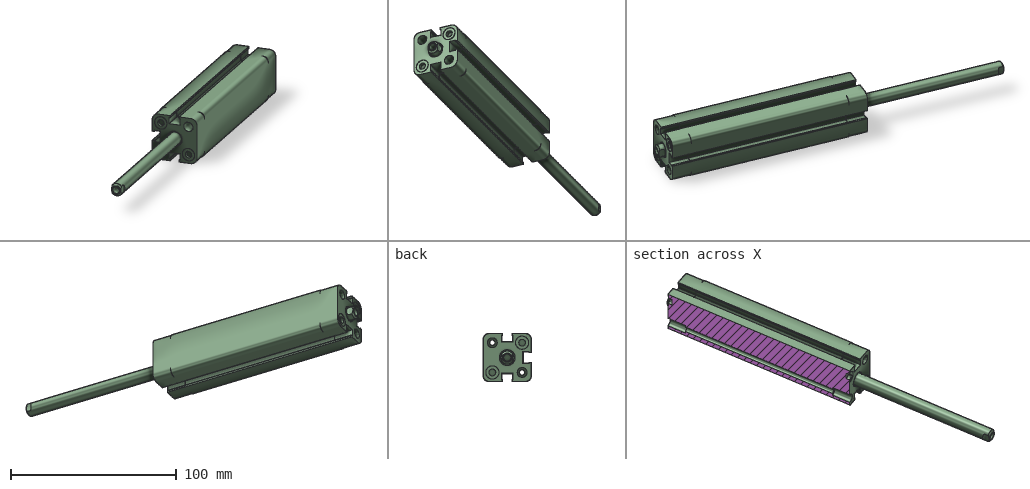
import cadquery as cq
import math

total_length = 227.0
rear_rod_length = 4.3
housing_length = 128.0
cap_length = 12.3
rear_face = total_length / 2 - rear_rod_length
front_face = rear_face - housing_length
cap_faces = ((front_face, 1), (rear_face, -1))

width = 29.0
cap_corner_radius = 4.0
profile_corner_radius = 3.5

slot_mouth = 6.0
slot_lip = 1.4
cap_slot_width = 7.0
cap_slot_depth = 5.2
profile_slot_width = 6.5
profile_slot_depth = 4.8
slot_angles = (0, 90, 180)

hole_spacing = 18.0
hole_offset = hole_spacing / 2
through_hole_diameter = 3.2
thread_diameter = 6.0
thread_depth = cap_length
screw_head_diameter = 8.0
screw_recess_depth = 0.2
socket_diameter = 4.0
socket_depth = 2.3

rod_diameter = 8.0
seal_diameter = 9.5
seal_depth = 1.1
flat_width = 6.1
flat_length = 3.0
flat_runout_radius = 1.4
rod_chamfer_length = 1.0
rod_end_diameter = 5.5
rod_drill_diameter = 3.2
rod_drill_depth = 9.0
rod_thread_diameter = 4.3
rod_thread_depth = 6.8
drill_tip_angle = 118


def cylinder(diameter, y_start, y_end, x=0.0, z=0.0):
    """Cylinder parallel to Y between two Y positions."""
    return (
        cq.Workplane("XZ", origin=(x, y_start, z))
        .circle(diameter / 2)
        .extrude(y_start - y_end)
    )


def slot_cutter(inner_width, depth, y_start, length):
    """T-shaped groove along Y in the +Z side."""
    top = width / 2
    mouth = cq.Workplane().box(slot_mouth, length, depth, centered=(True, False, False))
    inner = cq.Workplane().box(inner_width, length, depth - slot_lip, centered=(True, False, False))
    return mouth.union(inner).translate((0, y_start, top - depth))


def slotted_block(y_start, length, corner_radius, inner_width, slot_depth):
    """Square block with rounded long edges and the sensor slots."""
    block = (
        cq.Workplane()
        .box(width, length, width, centered=(True, False, True))
        .translate((0, y_start, 0))
        .edges("|Y")
        .fillet(corner_radius)
    )
    cutter = slot_cutter(inner_width, slot_depth, y_start, length)
    for angle in slot_angles:
        block = block.cut(cutter.rotate((0, 0, 0), (0, 1, 0), -angle))
    return block


def cap(y_start):
    return slotted_block(y_start, cap_length, cap_corner_radius, cap_slot_width, cap_slot_depth)


def slotted_housing():
    profile = slotted_block(
        front_face + cap_length,
        housing_length - 2 * cap_length,
        profile_corner_radius,
        profile_slot_width,
        profile_slot_depth,
    )
    return profile.union(cap(front_face)).union(cap(rear_face - cap_length))


def cut_through_holes(body):
    """Two through holes on one diagonal, threaded at both ends."""
    for side in (1, -1):
        x = side * hole_offset
        z = side * hole_offset
        body = body.cut(cylinder(through_hole_diameter, front_face, rear_face, x, z))
        for face, inward in cap_faces:
            body = body.cut(cylinder(thread_diameter, face, face + inward * thread_depth, x, z))
    return body


def cut_screw_heads(body):
    """Recessed screw heads with sockets on the other diagonal, at both ends."""
    for side in (1, -1):
        x = side * hole_offset
        z = -side * hole_offset
        for face, inward in cap_faces:
            head = face + inward * screw_recess_depth
            body = body.cut(cylinder(screw_head_diameter, face, head, x, z))
            body = body.cut(cylinder(socket_diameter, head, head + inward * socket_depth, x, z))
    return body


def cut_rod_clearance(body):
    """Shallow ring around the rod at both caps."""
    for face, inward in cap_faces:
        body = body.cut(cylinder(seal_diameter, face, face + inward * seal_depth))
    return body


def flat_cutter():
    """Removes the +X side of the front rod end, curving out to the rod surface."""
    end = -total_length / 2
    inner = flat_width / 2
    outer = rod_diameter / 2
    radius = flat_runout_radius
    sweep = math.acos(1 - (outer - inner) / radius)

    def runout_point(angle):
        x = inner + radius * (1 - math.cos(angle))
        y = end + flat_length + radius * math.sin(angle)
        return (x, y)

    return (
        cq.Workplane("XY")
        .moveTo(outer, end)
        .lineTo(inner, end)
        .lineTo(*runout_point(0))
        .threePointArc(runout_point(sweep / 2), runout_point(sweep))
        .close()
        .extrude(rod_diameter / 2, both=True)
    )


def rod_hole():
    """Threaded hole with a drilled conical bottom in the front rod end."""
    end = -total_length / 2
    drill_radius = rod_drill_diameter / 2
    thread_radius = rod_thread_diameter / 2
    tip_length = drill_radius / math.tan(math.radians(drill_tip_angle / 2))
    return (
        cq.Workplane("XY")
        .polyline([
            (0, end),
            (thread_radius, end),
            (thread_radius, end + rod_thread_depth),
            (drill_radius, end + rod_thread_depth),
            (drill_radius, end + rod_drill_depth),
            (0, end + rod_drill_depth + tip_length),
        ])
        .close()
        .revolve(360, (0, 0, 0), (0, 1, 0))
    )


def piston_rod():
    """Chamfered rod with two flats and a threaded hole at each end."""
    half_length = total_length / 2
    shoulder = half_length - rod_chamfer_length
    rod = (
        cq.Workplane("XY")
        .polyline([
            (0, -half_length),
            (rod_end_diameter / 2, -half_length),
            (rod_diameter / 2, -shoulder),
            (rod_diameter / 2, shoulder),
            (rod_end_diameter / 2, half_length),
            (0, half_length),
        ])
        .close()
        .revolve(360, (0, 0, 0), (0, 1, 0))
    )
    flat = flat_cutter()
    for end_cut in (flat, flat.mirror("YZ"), rod_hole()):
        rod = rod.cut(end_cut).cut(end_cut.mirror("XZ"))
    return rod


housing = slotted_housing()
housing = cut_through_holes(housing)
housing = cut_screw_heads(housing)
housing = cut_rod_clearance(housing)
result = housing.union(piston_rod())